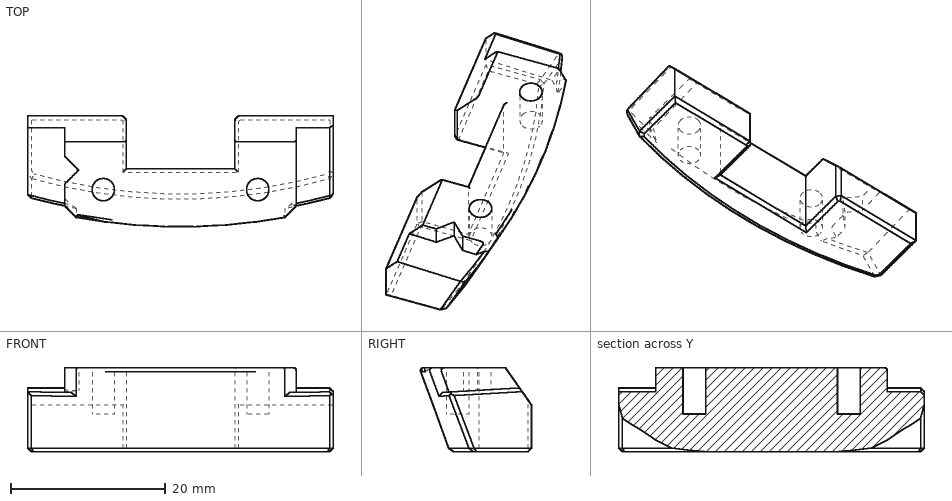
import cadquery as cq
import math

LENGTH = 39.6
HEIGHT = 10.91
FRONT_REACH = 14.58
REACH_MARGIN = 10.0

FRONT_RADIUS = 75.0
FRONT_LEAN = 20.0

BACK_HEIGHT = 6.08
BACK_SLOPE = 35.0

SLOT_WIDTH = 14.0
SLOT_DEPTH = 6.85

BOSS_WIDTH = 30.0
SHELF_BACK_HEIGHT = 8.37
SHELF_TILT = 3.3
BOSS_CORNER_X = 1.4
BOSS_CORNER_Y = 1.4
BOSS_SIDE_LENGTH = 11.85

NOTCH_DEPTH = 1.8
NOTCH_Y = -7.05

HOLE_DIAMETER = 2.9
HOLE_SPACING = 20.0
HOLE_Y = -9.57
HOLE_DEPTH = 6.0

EDGE_CHAMFER = 0.5
TOP_FILLET = 0.4

HALF_LENGTH = LENGTH / 2
HALF_SLOT = SLOT_WIDTH / 2
HALF_BOSS = BOSS_WIDTH / 2
LEAN_RUN = math.tan(math.radians(FRONT_LEAN))
TILT_FALL = math.tan(math.radians(SHELF_TILT))
TOLERANCE = 0.01


def end_profile_bar():
    """Bar along X with the sloped back; the front is left over-long."""
    slope_run = (HEIGHT - BACK_HEIGHT) * math.tan(math.radians(BACK_SLOPE))
    front = -FRONT_REACH - REACH_MARGIN
    outline = [(0, 0), (0, BACK_HEIGHT), (-slope_run, HEIGHT), (front, HEIGHT), (front, 0)]
    return cq.Workplane("YZ").polyline(outline).close().extrude(HALF_LENGTH, both=True)


def front_cone():
    """Cone frustum whose side is the leaning, curved front face."""
    base_radius = FRONT_RADIUS - HEIGHT * LEAN_RUN
    axis_point = cq.Vector(0, FRONT_RADIUS - FRONT_REACH, 0)
    return cq.Solid.makeCone(base_radius, FRONT_RADIUS, HEIGHT, axis_point, cq.Vector(0, 0, 1))


def back_slot():
    return cq.Workplane("XY").box(SLOT_WIDTH, 2 * SLOT_DEPTH, 3 * HEIGHT)


def above_shelf():
    """Everything above the tilted shelf plane."""
    far = FRONT_REACH + REACH_MARGIN
    outline = [
        (far, SHELF_BACK_HEIGHT + far * TILT_FALL),
        (-far, SHELF_BACK_HEIGHT - far * TILT_FALL),
        (-far, 2 * HEIGHT),
        (far, 2 * HEIGHT),
    ]
    return cq.Workplane("YZ").polyline(outline).close().extrude(LENGTH, both=True)


def beside_boss():
    """Leaning prism to the right of the boss, including its bevelled front corner."""
    far = FRONT_REACH + REACH_MARGIN
    bevel_slope = BOSS_CORNER_X / BOSS_CORNER_Y
    bevel_end_x = HALF_BOSS - (far - BOSS_SIDE_LENGTH) * bevel_slope
    outline = [
        (HALF_BOSS, far),
        (HALF_BOSS, -BOSS_SIDE_LENGTH),
        (bevel_end_x, -far),
        (LENGTH, -far),
        (LENGTH, far),
    ]
    points = [cq.Vector(x, y, HEIGHT) for x, y in outline]
    wire = cq.Wire.makePolygon(points, close=True)
    down_the_lean = cq.Vector(0, HEIGHT * LEAN_RUN, -HEIGHT)
    return cq.Workplane(cq.Solid.extrudeLinear(wire, [], down_the_lean))


def notch():
    """V prism pointing inwards from the left boss side."""
    outline = [
        (-HALF_BOSS, NOTCH_Y + NOTCH_DEPTH),
        (-HALF_BOSS + NOTCH_DEPTH, NOTCH_Y),
        (-HALF_BOSS, NOTCH_Y - NOTCH_DEPTH),
    ]
    return cq.Workplane("XY").polyline(outline).close().extrude(HEIGHT)


def edges_where(part, test):
    """Edges of the part whose centre and bounding box pass the test."""
    chosen = [edge for edge in part.edges().vals() if test(edge.Center(), edge.BoundingBox())]
    return part.newObject(chosen)


def is_end_front_corner(center, box):
    return abs(center.x) > HALF_LENGTH - TOLERANCE and center.y < -SLOT_DEPTH and box.zlen > BACK_HEIGHT


def is_slot_mouth(center, box):
    return abs(abs(center.x) - HALF_SLOT) < TOLERANCE and box.ymin > -TOLERANCE


def is_rounded_top_edge(center, box):
    """Top edges of the slot, boss front, bevels and right side; the left side stays sharp."""
    in_slot = abs(center.x) < HALF_SLOT + TOLERANCE and center.y > -SLOT_DEPTH - TOLERANCE
    in_front = center.y < -BOSS_SIDE_LENGTH
    on_right = center.x > HALF_BOSS - TOLERANCE
    return box.zmin > HEIGHT - TOLERANCE and (in_slot or in_front or on_right)


def is_shelf_front(center, box):
    on_shelf = HALF_BOSS < abs(center.x) < HALF_LENGTH - EDGE_CHAMFER
    return on_shelf and box.xlen > EDGE_CHAMFER and center.y < -SLOT_DEPTH and box.zmin > BACK_HEIGHT


def is_right_shelf_end(center, box):
    at_end = box.xmin > HALF_LENGTH - TOLERANCE
    return at_end and box.zmin > BACK_HEIGHT + TOLERANCE and box.ylen > SLOT_DEPTH


result = end_profile_bar().intersect(cq.Workplane(front_cone())).cut(back_slot())
result = edges_where(result, is_end_front_corner).chamfer(EDGE_CHAMFER)
result = edges_where(result, is_slot_mouth).chamfer(EDGE_CHAMFER)
result = result.faces("<Z").edges().chamfer(EDGE_CHAMFER)

shelf_space = beside_boss().intersect(above_shelf())
result = result.cut(shelf_space).cut(shelf_space.mirror("YZ"))
result = result.cut(notch().intersect(above_shelf()))

result = edges_where(result, is_shelf_front).chamfer(EDGE_CHAMFER)
result = edges_where(result, is_right_shelf_end).chamfer(EDGE_CHAMFER)
result = edges_where(result, is_rounded_top_edge).fillet(TOP_FILLET)

hole_centers = [(-HOLE_SPACING / 2, HOLE_Y), (HOLE_SPACING / 2, HOLE_Y)]
holes = cq.Workplane("XY").workplane(offset=HEIGHT).pushPoints(hole_centers).circle(HOLE_DIAMETER / 2)
result = result.cut(holes.extrude(-HOLE_DEPTH))